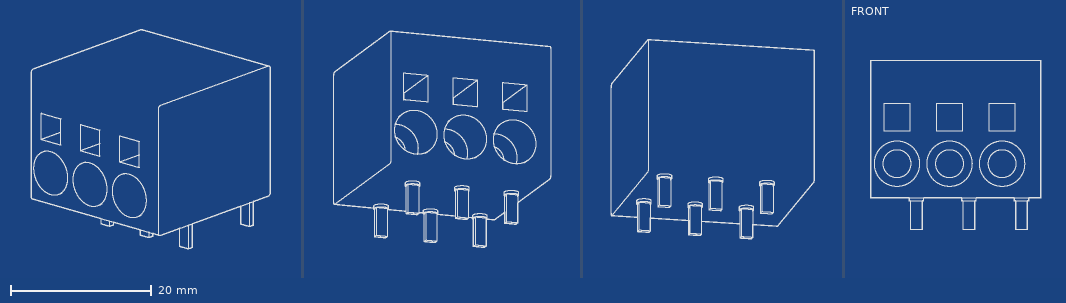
import cadquery as cq

housing_width = 24.3
housing_depth = 24.15
overall_height = 24.2
pin_drop = 4.55
housing_height = overall_height - pin_drop
edge_radius = 0.5

pole_count = 3
pole_pitch = 7.5
first_pole_x = pole_pitch / 2

entry_mouth_diameter = 6.5
entry_floor_diameter = 3.99
entry_depth = 9.96
entry_taper_length = 2.05
entry_z = 4.88

pocket_width = 3.7
pocket_height = 3.94
pocket_depth = 9.96
pocket_z = 11.52

collar_diameter = 2.1
collar_height = 0.41
blade_width = 1.7
blade_thickness = 0.85
pin_offset_from_pole = 2.77
back_row_inset = 1.95
row_spacing = 13.17

pole_positions = [first_pole_x + i * pole_pitch for i in range(pole_count)]
back_row_y = housing_depth - back_row_inset
pin_rows = [back_row_y - row_spacing, back_row_y]


def make_wire_entry(x):
    """Straight bore whose end narrows in a cone to a flat floor."""
    mouth_radius = entry_mouth_diameter / 2
    floor_radius = entry_floor_diameter / 2
    straight_depth = entry_depth - entry_taper_length
    half_profile = (
        cq.Workplane("XY")
        .polyline(
            [
                (0, 0),
                (mouth_radius, 0),
                (mouth_radius, straight_depth),
                (floor_radius, entry_depth),
                (0, entry_depth),
            ]
        )
        .close()
    )
    return half_profile.revolve(360, (0, 0, 0), (0, 1, 0)).translate((x, 0, entry_z))


def make_release_pocket(x):
    """Rectangular cutter that runs back from the front face."""
    return (
        cq.Workplane("XY")
        .box(pocket_width, pocket_depth, pocket_height, centered=(True, False, True))
        .translate((x, 0, pocket_z))
    )


def make_housing():
    """Block with rounded lengthwise edges, and two openings for each pole."""
    body = (
        cq.Workplane("XY")
        .box(housing_width, housing_depth, housing_height, centered=False)
        .edges("|X")
        .fillet(edge_radius)
    )
    for x in pole_positions:
        body = body.cut(make_wire_entry(x))
        body = body.cut(make_release_pocket(x))
    return body


def make_pin(x, y):
    """Collar seated against the underside of the housing, with the blade below it."""
    collar = cq.Workplane("XY").circle(collar_diameter / 2).extrude(-collar_height)
    blade = cq.Workplane("XY").rect(blade_width, blade_thickness).extrude(-pin_drop)
    return collar.union(blade).translate((x, y, 0))


housing = make_housing()
pins = [make_pin(x + pin_offset_from_pole, y) for y in pin_rows for x in pole_positions]

result = cq.Compound.makeCompound([housing.val(), *[pin.val() for pin in pins]])